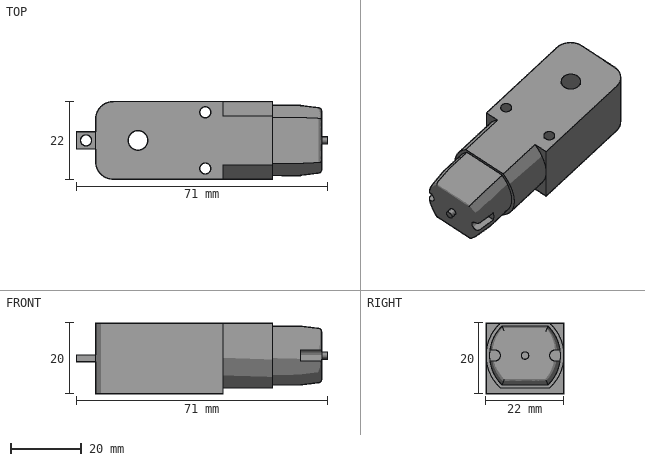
import cadquery as cq
import math

housing_start = 5.4
housing_end = 41.45
housing_width = 22.0
housing_height = 20.0
corner_radius = 5.0

tab_width = 5.0
tab_thickness = 2.0
tab_bottom = 9.0
tab_hole_x = 2.7

screw_hole_diameter = 3.05
screw_hole_x = 36.4
screw_hole_offset = 7.95
output_hole_diameter = 5.5
output_hole_x = 17.4

barrel_end = 55.45
barrel_height = 18.4
barrel_flat = 13.85
axis_z = housing_height - barrel_height / 2

neck_end = 63.3
neck_width = 20.0
neck_height = 16.7
neck_flat = 13.0
nose_end = 69.4
nose_flat = 12.4
taper_angle = 7.0
nose_edge_radius = 1.0
groove_radius = 1.55
groove_axis_inset = 1.5

shaft_end = 71.0
shaft_diameter = 2.1


def motor_outline(x, width, height, flat):
    """Closed wire across X: flat top and bottom, joined by bulging side arcs."""
    half_width = width / 2
    half_height = height / 2
    half_flat = flat / 2
    return (
        cq.Workplane("YZ", origin=(x, 0, axis_z))
        .moveTo(-half_flat, half_height)
        .lineTo(half_flat, half_height)
        .threePointArc((half_width, 0), (half_flat, -half_height))
        .lineTo(-half_flat, -half_height)
        .threePointArc((-half_width, 0), (-half_flat, half_height))
        .close()
    )


def make_housing():
    """Block rounded at the tab end only."""
    return (
        cq.Workplane("XY")
        .box(housing_end - housing_start, housing_width, housing_height, centered=(False, True, False))
        .translate((housing_start, 0, 0))
        .edges("|Z and <X")
        .fillet(corner_radius)
    )


def make_tab():
    return (
        cq.Workplane("XY", origin=(0, 0, tab_bottom))
        .box(housing_start, tab_width, tab_thickness, centered=(False, True, False))
    )


def make_nose():
    """Tapered end of the motor cap with a rounded rim and a groove along each side."""
    shrink = 2 * (nose_end - neck_end) * math.tan(math.radians(taper_angle))
    neck_wire = motor_outline(neck_end, neck_width, neck_height, neck_flat).val()
    nose_wire = motor_outline(nose_end, neck_width - shrink, neck_height - shrink, nose_flat).val()
    nose = cq.Workplane(cq.Solid.makeLoft([neck_wire, nose_wire], True))
    nose = nose.faces(">X").edges().fillet(nose_edge_radius)
    groove_height = 2 * groove_radius
    groove_axis_y = neck_width / 2 - groove_axis_inset
    grooves = (
        cq.Workplane("YZ", origin=(neck_end, 0, axis_z))
        .pushPoints([(-groove_axis_y, 0), (groove_axis_y, 0)])
        .circle(groove_radius)
        .extrude(nose_end - neck_end)
    )
    openings = (
        cq.Workplane("YZ", origin=(neck_end, 0, axis_z))
        .pushPoints([(-neck_width / 2, 0), (neck_width / 2, 0)])
        .rect(2 * groove_axis_inset, groove_height)
        .extrude(nose_end - neck_end)
    )
    return nose.cut(grooves.union(openings))


def make_motor():
    barrel = motor_outline(housing_end, housing_width, barrel_height, barrel_flat)
    neck = motor_outline(barrel_end, neck_width, neck_height, neck_flat)
    shaft = cq.Workplane("YZ", origin=(nose_end, 0, axis_z)).circle(shaft_diameter / 2)
    return (
        barrel.extrude(barrel_end - housing_end)
        .union(neck.extrude(neck_end - barrel_end))
        .union(make_nose())
        .union(shaft.extrude(shaft_end - nose_end))
    )


def vertical_holes(diameter, centers):
    return cq.Workplane("XY").pushPoints(centers).circle(diameter / 2).extrude(housing_height)


screw_holes = [
    (tab_hole_x, 0),
    (screw_hole_x, -screw_hole_offset),
    (screw_hole_x, screw_hole_offset),
]

result = (
    make_housing()
    .union(make_tab())
    .union(make_motor())
    .cut(vertical_holes(screw_hole_diameter, screw_holes))
    .cut(vertical_holes(output_hole_diameter, [(output_hole_x, 0)]))
)